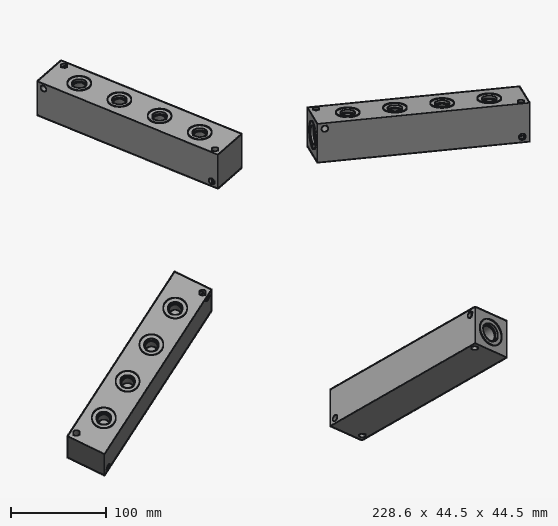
import cadquery as cq
import math

LENGTH = 228.6
SIDE = 44.45

SPOTFACE_DEPTH = 0.8
LEAD_IN_HALF_ANGLE = 45.0

TOP_SPOTFACE_DIAMETER = 25.02
TOP_SEAT_DIAMETER = 15.65
TOP_SEAT_DEPTH = 2.5
TOP_SEAT_HALF_ANGLE = 12.0
TOP_BORE_DIAMETER = 12.76
TOP_BORE_DEPTH = 15.0
TOP_PORT_COUNT = 4
TOP_PORT_PITCH = 50.8

END_SPOTFACE_DIAMETER = 30.25
END_SEAT_DIAMETER = 20.6
END_SEAT_DEPTH = 2.5
END_SEAT_HALF_ANGLE = 15.0
END_BORE_DIAMETER = 17.33
END_BORE_DEPTH = 20.0

MOUNT_DIAMETER = 7.11
MOUNT_END_INSET = 7.94
MOUNT_EDGE_INSET = 6.35


def port_cutter(
    spotface_diameter, seat_diameter, seat_depth, seat_half_angle, bore_diameter, bore_depth
):
    """Solid of revolution about Z whose mouth lies on Z = 0, reaching downwards."""
    spotface_radius = spotface_diameter / 2
    seat_radius = seat_diameter / 2
    bore_radius = bore_diameter / 2
    seat_end = SPOTFACE_DEPTH + seat_depth
    seat_end_radius = seat_radius - seat_depth * math.tan(math.radians(seat_half_angle))
    bore_start = seat_end + (seat_end_radius - bore_radius) / math.tan(math.radians(LEAD_IN_HALF_ANGLE))
    profile = (
        cq.Workplane("XZ")
        .moveTo(0, 0)
        .lineTo(spotface_radius, 0)
        .lineTo(spotface_radius, -SPOTFACE_DEPTH)
        .lineTo(seat_radius, -SPOTFACE_DEPTH)
        .lineTo(seat_end_radius, -seat_end)
        .lineTo(bore_radius, -bore_start)
        .lineTo(bore_radius, -bore_depth)
        .lineTo(0, -bore_depth)
        .close()
    )
    return profile.revolve(360, (0, 0, 0), (0, 1, 0))


def cut_top_ports(body):
    """Row of equal ports along the middle of the +Z face."""
    cutter = port_cutter(
        TOP_SPOTFACE_DIAMETER,
        TOP_SEAT_DIAMETER,
        TOP_SEAT_DEPTH,
        TOP_SEAT_HALF_ANGLE,
        TOP_BORE_DIAMETER,
        TOP_BORE_DEPTH,
    )
    for index in range(TOP_PORT_COUNT):
        x = (index - (TOP_PORT_COUNT - 1) / 2) * TOP_PORT_PITCH
        body = body.cut(cutter.translate((x, 0, SIDE / 2)))
    return body


def cut_end_port(body):
    """Single larger port in the middle of the -X face."""
    cutter = port_cutter(
        END_SPOTFACE_DIAMETER,
        END_SEAT_DIAMETER,
        END_SEAT_DEPTH,
        END_SEAT_HALF_ANGLE,
        END_BORE_DIAMETER,
        END_BORE_DEPTH,
    )
    cutter = cutter.rotate((0, 0, 0), (0, 1, 0), -90)
    return body.cut(cutter.translate((-LENGTH / 2, 0, 0)))


def cut_mounting_holes(body):
    """Two through holes along Y and two along Z, at diagonally opposite corners."""
    along = LENGTH / 2 - MOUNT_END_INSET
    across = SIDE / 2 - MOUNT_EDGE_INSET
    corners = [(-along, across), (along, -across)]
    for plane in ("XY", "XZ"):
        holes = cq.Workplane(plane).pushPoints(corners).circle(MOUNT_DIAMETER / 2)
        body = body.cut(holes.extrude(SIDE, both=True))
    return body


result = cq.Workplane("XY").box(LENGTH, SIDE, SIDE)
result = cut_top_ports(result)
result = cut_end_port(result)
result = cut_mounting_holes(result)